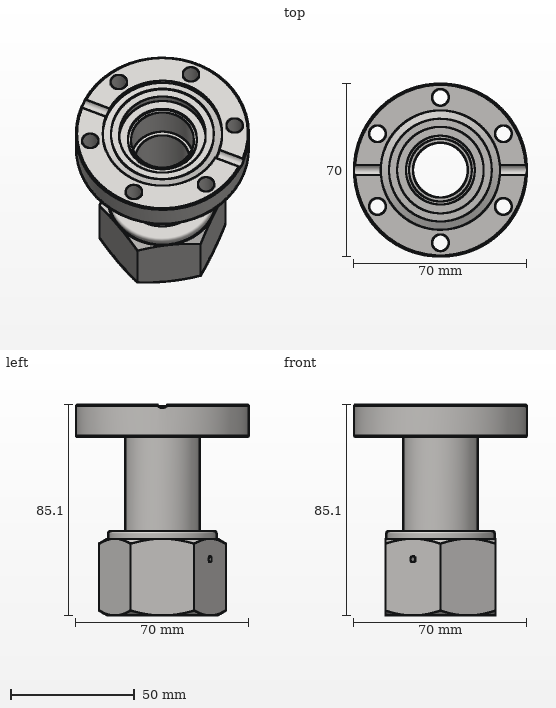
import cadquery as cq
import math

total_height = 85.1
nut_height = 34.1
hex_height = 31.0

flange_diameter = 70.0
flange_thickness = 13.0
flange_chamfer = 0.5
recess_diameter = 48.3
recess_depth = 1.9
knife_diameter = 41.55
knife_depth = 0.6
land_depth = 1.2
pocket_diameter = 35.0
pocket_depth = 5.0
lip_diameter = 27.8
lip_height = 0.85

bolt_count = 6
bolt_circle_diameter = 58.75
bolt_hole_diameter = 6.6
groove_width = 4.0
groove_depth = 1.3

tube_diameter = 30.2
tube_bore_diameter = 25.4
tube_bore_end_depth = 22.2
outlet_diameter = 22.05
head_diameter = 34.2
head_height = 10.2

across_flats = 44.5
hex_chamfer_angle = 30.0
collar_diameter = 43.9
collar_fillet = 1.2
nut_neck_diameter = 30.6
nut_bore_diameter = 37.0
nut_bore_depth = 27.25
vent_diameter = 2.4
vent_z = 22.7
vent_angle = 240.0

flange_bottom = total_height - flange_thickness
tube_bore_end = total_height - tube_bore_end_depth
tube_top = total_height - pocket_depth - lip_height
head_top = nut_bore_depth
head_bottom = head_top - head_height


def cylinder(diameter, bottom, top):
    """Vertical cylinder on the Z axis between two heights."""
    return cq.Workplane("XY").workplane(offset=bottom).circle(diameter / 2).extrude(top - bottom)


def make_knife_recess():
    """Ring-shaped space around the knife edge, with the space above its inner land."""
    return (
        cq.Workplane("XZ")
        .moveTo(0, total_height)
        .lineTo(recess_diameter / 2, total_height)
        .lineTo(recess_diameter / 2, total_height - recess_depth)
        .lineTo(knife_diameter / 2, total_height - knife_depth)
        .lineTo(knife_diameter / 2, total_height - land_depth)
        .lineTo(0, total_height - land_depth)
        .close()
        .revolve(360, (0, 0, 0), (0, 1, 0))
    )


def make_leak_groove():
    """Round-bottomed groove along X, cut across the flange face."""
    radius = ((groove_width / 2) ** 2 + groove_depth**2) / (2 * groove_depth)
    center_z = total_height - groove_depth + radius
    bar = (
        cq.Workplane("YZ")
        .center(0, center_z)
        .circle(radius)
        .extrude(flange_diameter / 2, both=True)
    )
    return bar.cut(cylinder(recess_diameter, flange_bottom, center_z + radius))


def make_flange():
    flange = cylinder(flange_diameter, flange_bottom, total_height).edges().chamfer(flange_chamfer)
    flange = flange.cut(make_knife_recess())
    flange = flange.cut(cylinder(pocket_diameter, total_height - pocket_depth, total_height))
    flange = flange.cut(cylinder(lip_diameter, tube_top, total_height))
    flange = flange.cut(cylinder(tube_diameter, flange_bottom, tube_top))
    bolt_holes = (
        cq.Workplane("XY")
        .workplane(offset=flange_bottom)
        .polarArray(bolt_circle_diameter / 2, 90, 360, bolt_count)
        .circle(bolt_hole_diameter / 2)
        .extrude(flange_thickness)
    )
    return flange.cut(bolt_holes).cut(make_leak_groove())


def make_tube():
    tube = cylinder(tube_diameter, head_bottom, tube_top)
    tube = tube.union(cylinder(head_diameter, head_bottom, head_top))
    tube = tube.cut(cylinder(tube_bore_diameter, tube_bore_end, tube_top))
    return tube.cut(cylinder(outlet_diameter, head_bottom, tube_bore_end))


def make_hex_envelope(corner_radius):
    """Turned shape with a cone at each end that trims the hexagon corners."""
    flat_radius = across_flats / 2
    chamfer_height = (corner_radius - flat_radius) * math.tan(math.radians(hex_chamfer_angle))
    return (
        cq.Workplane("XZ")
        .lineTo(flat_radius, 0)
        .lineTo(corner_radius, chamfer_height)
        .lineTo(corner_radius, hex_height - chamfer_height)
        .lineTo(flat_radius, hex_height)
        .lineTo(0, hex_height)
        .close()
        .revolve(360, (0, 0, 0), (0, 1, 0))
    )


def make_vent_hole():
    """Radial hole from the middle of one flat into the nut bore."""
    angle = math.radians(vent_angle)
    direction = cq.Vector(math.cos(angle), math.sin(angle), 0)
    start = cq.Vector(0, 0, vent_z)
    return cq.Solid.makeCylinder(vent_diameter / 2, across_flats, start, direction)


def make_nut():
    corner_radius = across_flats / math.sqrt(3)
    hexagon = (
        cq.Workplane("XY")
        .polygon(6, 2 * corner_radius)
        .extrude(hex_height)
        .rotate((0, 0, 0), (0, 0, 1), 30)
    )
    nut = hexagon.intersect(make_hex_envelope(corner_radius))
    collar = cylinder(collar_diameter, nut_bore_depth, nut_height).faces(">Z").edges().fillet(collar_fillet)
    nut = nut.union(collar)
    nut = nut.cut(cylinder(nut_neck_diameter, 0, nut_height))
    nut = nut.cut(cylinder(nut_bore_diameter, 0, nut_bore_depth))
    return nut.cut(cq.Workplane(make_vent_hole()))


flange = make_flange()
tube = make_tube()
nut = make_nut()

result = cq.Compound.makeCompound([flange.val(), tube.val(), nut.val()])